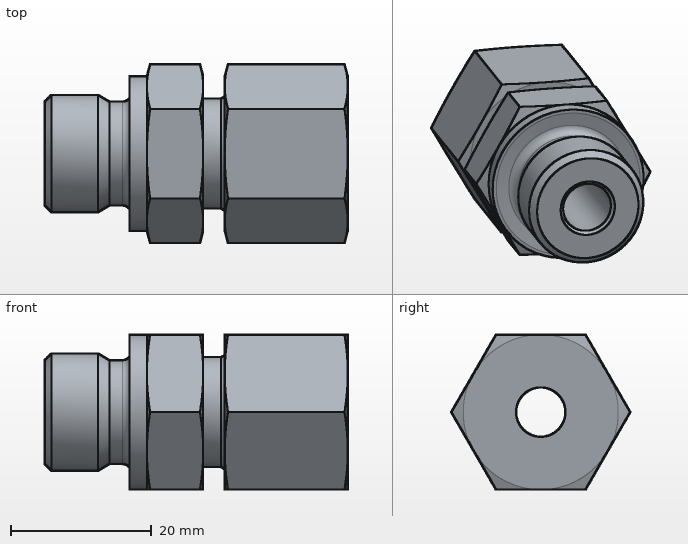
import cadquery as cq
import math

TOTAL_LENGTH = 43.0
ACROSS_FLATS = 22.0
FLAT_RADIUS = ACROSS_FLATS / 2
CORNER_RADIUS = FLAT_RADIUS / math.cos(math.pi / 6)
HEX_CHAMFER_ANGLE = math.radians(15)

BORE_RADIUS = 3.5
BORE_CHAMFER = 0.47
STUD_RADIUS = 8.35
STUD_TIP_CHAMFER = 0.95
STUD_END = 7.55
RELIEF_RADIUS = 7.4
RELIEF_START = 9.15
RELIEF_FILLET_START = 11.05
RELIEF_FILLET = 1.2

COLLAR_START = 12.0
COLLAR_RADIUS = FLAT_RADIUS
SEAL_EDGE_RADIUS = 10.5

BODY_HEX_START = 14.5
BODY_HEX_END = 22.5

NECK_RADIUS = 7.83
NECK_END = 25.03
THREAD_RADIUS = 9.0
THREAD_RUNOUT_ANGLE = math.radians(30)
THREAD_RUNOUT = (THREAD_RADIUS - NECK_RADIUS) / math.tan(THREAD_RUNOUT_ANGLE)
NUT_START = 25.55
SOCKET_DEPTH = 11.0
SOCKET_END = NUT_START + SOCKET_DEPTH


def turned(profile):
    """Revolve a closed (x, radius) profile about the X axis."""
    return profile.close().revolve(360, (0, 0, 0), (1, 0, 0))


def bore(start, end):
    """Cylinder of the through bore between two X positions."""
    return cq.Workplane("YZ", origin=(start, 0, 0)).circle(BORE_RADIUS).extrude(end - start)


def chamfered_hexagon(start, end):
    """Hexagon along X, flats on +Z and -Z, with its corners turned down at both ends."""
    prism = (
        cq.Workplane("YZ", origin=(start, 0, 0))
        .polygon(6, 2 * CORNER_RADIUS)
        .extrude(end - start)
    )
    chamfer_depth = (CORNER_RADIUS - FLAT_RADIUS) * math.tan(HEX_CHAMFER_ANGLE)
    envelope = turned(
        cq.Workplane("XY")
        .moveTo(start, 0)
        .lineTo(start, FLAT_RADIUS)
        .lineTo(start + chamfer_depth, CORNER_RADIUS)
        .lineTo(end - chamfer_depth, CORNER_RADIUS)
        .lineTo(end, FLAT_RADIUS)
        .lineTo(end, 0)
    )
    return prism.intersect(envelope)


def stud_and_collar():
    """Stud with tip chamfer and relief groove, running into the sealing collar."""
    fillet_end = RELIEF_FILLET_START + RELIEF_FILLET
    return turned(
        cq.Workplane("XY")
        .lineTo(0, STUD_RADIUS - STUD_TIP_CHAMFER)
        .lineTo(STUD_TIP_CHAMFER, STUD_RADIUS)
        .lineTo(STUD_END, STUD_RADIUS)
        .lineTo(RELIEF_START, RELIEF_RADIUS)
        .lineTo(RELIEF_FILLET_START, RELIEF_RADIUS)
        .radiusArc((fillet_end, RELIEF_RADIUS + RELIEF_FILLET), -RELIEF_FILLET)
        .lineTo(COLLAR_START, SEAL_EDGE_RADIUS)
        .lineTo(COLLAR_START, COLLAR_RADIUS)
        .lineTo(BODY_HEX_START, COLLAR_RADIUS)
        .lineTo(BODY_HEX_START, 0)
    )


def threaded_end():
    """Neck behind the hexagon, widening to the end that fills the nut's socket."""
    return turned(
        cq.Workplane("XY")
        .moveTo(BODY_HEX_END, 0)
        .lineTo(BODY_HEX_END, NECK_RADIUS)
        .lineTo(NECK_END, NECK_RADIUS)
        .lineTo(NECK_END + THREAD_RUNOUT, THREAD_RADIUS)
        .lineTo(SOCKET_END, THREAD_RADIUS)
        .lineTo(SOCKET_END, 0)
    )


def bore_mouth():
    """Cone that chamfers the bore at the stud tip."""
    return turned(
        cq.Workplane("XY")
        .lineTo(0, BORE_RADIUS + BORE_CHAMFER)
        .lineTo(BORE_CHAMFER, BORE_RADIUS)
        .lineTo(BORE_CHAMFER, 0)
    )


def make_body():
    """Male stud body of the fitting."""
    hexagon = chamfered_hexagon(BODY_HEX_START, BODY_HEX_END)
    solid = stud_and_collar().union(hexagon).union(threaded_end())
    return solid.cut(bore(0, SOCKET_END)).cut(bore_mouth())


def make_nut():
    """Union nut with a socket for the body's threaded end and the bore carried through."""
    hexagon = chamfered_hexagon(NUT_START, TOTAL_LENGTH)
    socket = (
        cq.Workplane("YZ", origin=(NUT_START, 0, 0))
        .circle(THREAD_RADIUS)
        .extrude(SOCKET_DEPTH)
    )
    return hexagon.cut(socket).cut(bore(SOCKET_END, TOTAL_LENGTH))


body = make_body()
nut = make_nut()

result = cq.Compound.makeCompound([body.val(), nut.val()])